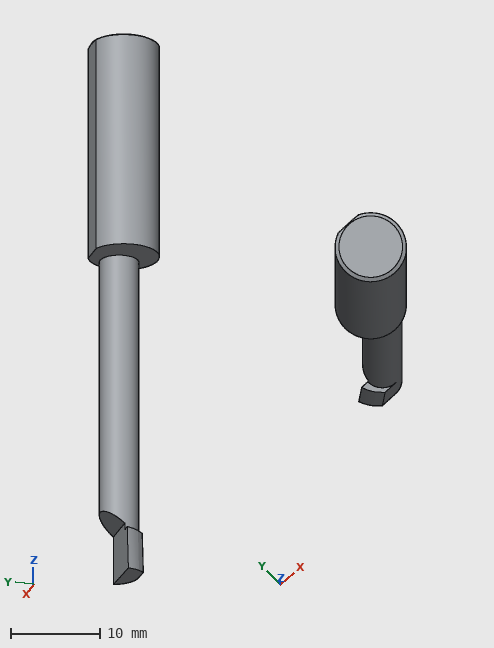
import cadquery as cq
import math

total_length = 63.5
shank_radius = 4.0
shank_length = 25.4
flat_depth = 0.3
chamfer_width = 0.45
chamfer_height = 0.25

neck_radius = 2.2
relief_start_z = 5.9
relief_angle = 40.0

cutter_height = 5.15
cutter_lean = 0.45
tip_x = -1.85
flank_end = (-1.0, -1.5)
flank_middle = (-1.5, -0.75)
bevel_end_x = -0.3

end_slope_x = 2.0
end_slope_y = 6.0

shank_bottom = total_length - shank_length
neck_x = shank_radius - neck_radius
margin = 1.3
clearance_size = 19.05


def make_shank():
    """Chamfered cylinder with a flat along its +Y side."""
    profile = [
        (0, shank_bottom),
        (shank_radius, shank_bottom),
        (shank_radius, total_length - chamfer_height),
        (shank_radius - chamfer_width, total_length),
        (0, total_length),
    ]
    shank = cq.Workplane("XZ").polyline(profile).close().revolve(360, (0, 0), (0, 1))
    flat_cutter = (
        cq.Workplane("XY", origin=(0, shank_radius - flat_depth, shank_bottom))
        .rect(2 * shank_radius, 2 * flat_depth)
        .extrude(shank_length)
        .translate((0, flat_depth, 0))
    )
    return shank.cut(flat_cutter)


def make_neck():
    """Eccentric round neck, cut to half its section below a sloped relief."""
    neck = cq.Workplane("XY").center(neck_x, 0).circle(neck_radius).extrude(shank_bottom)
    relief_depth = neck_radius + margin
    relief_top = relief_start_z + relief_depth * math.tan(math.radians(relief_angle))
    relief_profile = [
        (0, -margin),
        (0, relief_start_z),
        (relief_depth, relief_top),
        (relief_depth, -margin),
    ]
    relief = (
        cq.Workplane("YZ", origin=(neck_x, 0, 0))
        .polyline(relief_profile)
        .close()
        .extrude(relief_depth, both=True)
    )
    return neck.cut(relief)


def cutter_section(workplane, shift):
    """Cutter outline with its flank and bevel moved along X by shift."""
    return (
        workplane.moveTo(tip_x + shift, 0)
        .threePointArc(
            (flank_middle[0] + shift, flank_middle[1]),
            (flank_end[0] + shift, flank_end[1]),
        )
        .lineTo(bevel_end_x + shift, -neck_radius)
        .lineTo(neck_x, -neck_radius)
        .lineTo(neck_x, 0)
        .close()
    )


def make_cutter():
    """Side cutter whose flank leans towards the neck as it rises."""
    bottom = cutter_section(cq.Workplane("XY"), 0)
    return cutter_section(bottom.workplane(offset=cutter_height), cutter_lean).loft(ruled=True)


def make_end_clearance():
    """Body below the sloped end face, which rises away from the cutting corner."""
    return (
        cq.Workplane("XY")
        .box(clearance_size, clearance_size, clearance_size, centered=(True, True, False))
        .translate((0, 0, -clearance_size))
        .rotate((0, 0, 0), (1, 0, 0), -end_slope_y)
        .rotate((0, 0, 0), (0, 1, 0), -end_slope_x)
        .translate((tip_x, 0, 0))
    )


tool_end = make_neck().union(make_cutter()).cut(make_end_clearance())
result = make_shank().union(tool_end)